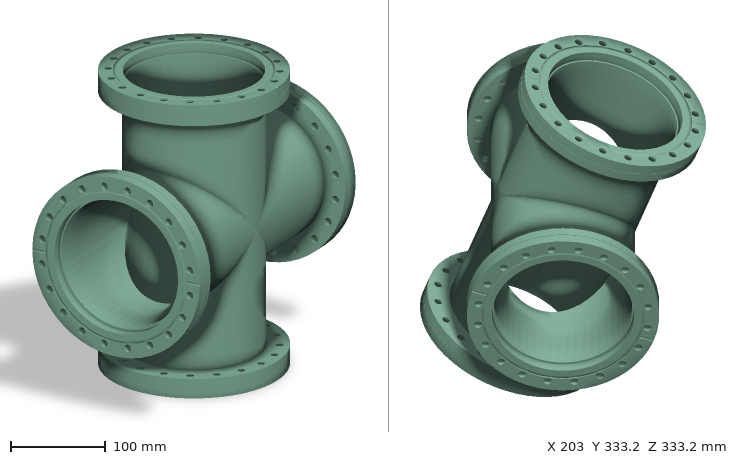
import cadquery as cq
import math

FACE_REACH = 333.2 / 2
TUBE_OD = 152.4
TUBE_ID = 146.0

FLANGE_OD = 203.0
MOUTH_DIA = 150.2
SOCKET_DIA = 152.9
SOCKET_DEPTH = 11.6
FIXED_THICKNESS = 22.0
ROTATABLE_THICKNESS = 24.0
BACK_CHAMFER = 0.5

RECESS_DIA = 171.4
LAND_DIA = 166.0
LAND_DEPTH = 0.5
FLANK_ANGLE = 20.0
FLANK_DEPTH = LAND_DEPTH + (RECESS_DIA - LAND_DIA) / 2 * math.tan(math.radians(FLANK_ANGLE))

RIM_GROOVE_WIDTH = 1.0
RIM_GROOVE_DEPTH = 0.4

BOLT_COUNT = 20
BOLT_DIA = 8.4
BOLT_CIRCLE_DIA = 181.0
SLOT_RADIUS = 1.5
SLOT_DEPTH = 0.8

INSERT_NECK_DIA = 156.0
INSERT_LIP_BACK = 13.0

FIXED_PORTS = (0, 270)
ROTATABLE_PORTS = (90, 180)


def at_port(body, angle):
    """Move a body from the +Z port of the cross to the port at the given angle."""
    return body.rotate((0, 0, 0), (1, 0, 0), angle - 90)


def disc(diameter, top_depth, bottom_depth):
    """Cylinder on the Z axis between two depths below the +Z flange face."""
    return (
        cq.Workplane("XY", origin=(0, 0, FACE_REACH - bottom_depth))
        .circle(diameter / 2)
        .extrude(bottom_depth - top_depth)
    )


def tube():
    """One arm of the cross, mitred where it meets its two neighbours."""
    length = FACE_REACH - SOCKET_DEPTH
    pipe = cq.Workplane("XY").circle(TUBE_OD / 2).circle(TUBE_ID / 2).extrude(length)
    mitre_envelope = (
        cq.Workplane("YZ")
        .polyline([(0, 0), (length, length), (-length, length)])
        .close()
        .extrude(TUBE_OD / 2, both=True)
    )
    return pipe.intersect(mitre_envelope)


def seal_space():
    """Everything open in front of the knife edge."""
    recess_radius = RECESS_DIA / 2
    profile = [
        (0, FACE_REACH),
        (recess_radius, FACE_REACH),
        (recess_radius, FACE_REACH - FLANK_DEPTH),
        (LAND_DIA / 2, FACE_REACH - LAND_DEPTH),
        (0, FACE_REACH - LAND_DEPTH),
    ]
    return cq.Workplane("XZ").polyline(profile).close().revolve(360, (0, 0, 0), (0, 1, 0))


def tube_bore(thickness):
    """Mouth in front of the tube end and the socket the tube sits in."""
    return disc(MOUTH_DIA, 0, SOCKET_DEPTH).union(disc(SOCKET_DIA, SOCKET_DEPTH, thickness))


def rim_disc(thickness):
    """Solid flange disc with its rim groove, bolt holes and leak-check slots."""
    body = disc(FLANGE_OD, 0, thickness)

    groove_top = thickness / 2 - RIM_GROOVE_WIDTH / 2
    groove_bottom = thickness / 2 + RIM_GROOVE_WIDTH / 2
    groove_floor = disc(FLANGE_OD - 2 * RIM_GROOVE_DEPTH, groove_top, groove_bottom)
    body = body.cut(disc(FLANGE_OD, groove_top, groove_bottom).cut(groove_floor))

    half_pitch = 180 / BOLT_COUNT
    bolts = (
        cq.Workplane("XY", origin=(0, 0, FACE_REACH - thickness))
        .polarArray(BOLT_CIRCLE_DIA / 2, half_pitch, 360, BOLT_COUNT)
        .circle(BOLT_DIA / 2)
        .extrude(thickness)
    )
    slots = (
        cq.Workplane("YZ", origin=(0, 0, FACE_REACH - SLOT_DEPTH + SLOT_RADIUS))
        .circle(SLOT_RADIUS)
        .extrude(FLANGE_OD / 2, both=True)
        .cut(disc(RECESS_DIA, -2 * SLOT_RADIUS, SLOT_DEPTH))
    )
    return body.cut(bolts).cut(slots)


def fixed_flange():
    """One-piece flange with the knife edge cut into its face."""
    return rim_disc(FIXED_THICKNESS).cut(seal_space()).cut(tube_bore(FIXED_THICKNESS))


def insert_blank():
    """Outer shape of the insert: a wide lip in front of a narrower neck."""
    lip = disc(RECESS_DIA, 0, INSERT_LIP_BACK)
    return lip.union(disc(INSERT_NECK_DIA, INSERT_LIP_BACK, ROTATABLE_THICKNESS))


def insert():
    """Knife-edge insert welded to the tube and held inside the rotatable ring."""
    return insert_blank().cut(seal_space()).cut(tube_bore(ROTATABLE_THICKNESS))


def rotatable_ring():
    """Bolt ring that turns around the insert."""
    body = rim_disc(ROTATABLE_THICKNESS)
    back_rim = body.faces("<Z").edges(cq.selectors.RadiusNthSelector(-1))
    return back_rim.chamfer(BACK_CHAMFER).cut(insert_blank())


tubes = [at_port(tube(), angle) for angle in FIXED_PORTS + ROTATABLE_PORTS]
fixed_flanges = [at_port(fixed_flange(), angle) for angle in FIXED_PORTS]
inserts = [at_port(insert(), angle) for angle in ROTATABLE_PORTS]
rotatable_rings = [at_port(rotatable_ring(), angle) for angle in ROTATABLE_PORTS]

result = cq.Compound.makeCompound(
    [body.val() for body in tubes + fixed_flanges + inserts + rotatable_rings]
)